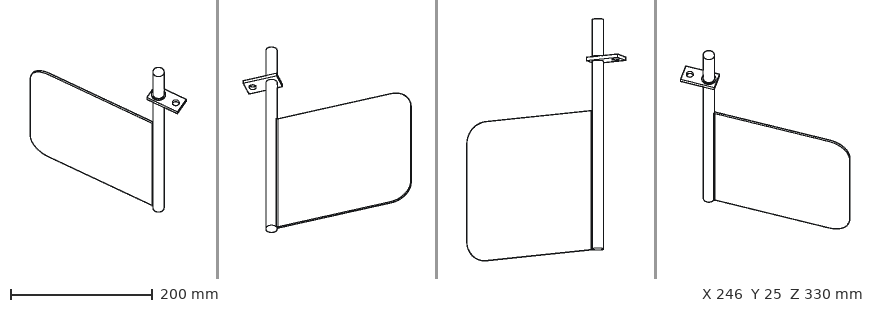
import cadquery as cq
import math

rod_length = 330.0
rod_diameter = 16.2

vane_reach = 208.0
vane_height = 200.0
vane_thickness = 3.0
vane_corner_radius = 30.0

tab_length = 49.8
tab_width = 25.0
tab_thickness = 5.0
tab_bottom = 270.0
tab_right = 38.0
tab_hole_diameter = 10.0
tab_hole_edge_distance = 10.0

ring_weld_width = 2.0
ring_weld_height = 2.0
vane_weld_leg = 2.0
vane_weld_rise = 1.0

rod_radius = rod_diameter / 2
vane_half_thickness = vane_thickness / 2
tab_top = tab_bottom + tab_thickness


def rod_surface_x(y):
    """X of the rod surface on its -X side, at a given Y."""
    return -math.sqrt(rod_radius**2 - y**2)


def make_rod():
    return cq.Workplane("XY").circle(rod_radius).extrude(rod_length)


def make_vane():
    """Plate with two rounded outer corners, its inner edge hollowed to fit the rod."""
    plate = (
        cq.Workplane("XY")
        .box(vane_reach, vane_thickness, vane_height, centered=(False, True, False))
        .translate((-vane_reach, 0, 0))
        .edges("|Y and <X")
        .fillet(vane_corner_radius)
    )
    return plate.cut(make_rod())


def make_tab():
    """Rectangular plate with a rod hole and a bolt hole."""
    return (
        cq.Workplane("XY", origin=(0, 0, tab_bottom))
        .center(tab_right - tab_length / 2, 0)
        .rect(tab_length, tab_width)
        .extrude(tab_thickness)
        .cut(make_rod())
        .cut(
            cq.Workplane("XY", origin=(tab_right - tab_hole_edge_distance, 0, tab_bottom))
            .circle(tab_hole_diameter / 2)
            .extrude(tab_thickness)
        )
    )


def make_ring_weld():
    """Triangular bead around the rod, on top of the tab."""
    return (
        cq.Workplane("XZ")
        .moveTo(rod_radius, tab_top)
        .lineTo(rod_radius + ring_weld_width, tab_top)
        .lineTo(rod_radius, tab_top + ring_weld_height)
        .close()
        .revolve(360, (0, 0, 0), (0, 1, 0))
    )


def make_vane_weld(side):
    """Bead in the corner of vane and rod; side is -1 or +1 along Y."""
    y_inner = vane_half_thickness
    y_middle = vane_half_thickness + vane_weld_rise / 2
    y_outer = vane_half_thickness + vane_weld_rise
    return (
        cq.Workplane("XY")
        .moveTo(rod_surface_x(y_inner) - vane_weld_leg, side * y_inner)
        .lineTo(rod_surface_x(y_inner), side * y_inner)
        .threePointArc(
            (rod_surface_x(y_middle), side * y_middle),
            (rod_surface_x(y_outer), side * y_outer),
        )
        .close()
        .extrude(vane_height)
    )


rod = make_rod()
vane = make_vane()
tab = make_tab()
ring_weld = make_ring_weld()
vane_welds = [make_vane_weld(side) for side in (-1, 1)]

result = cq.Compound.makeCompound(
    [
        rod.val(),
        vane.val(),
        tab.val(),
        ring_weld.val(),
        *[weld.val() for weld in vane_welds],
    ]
)